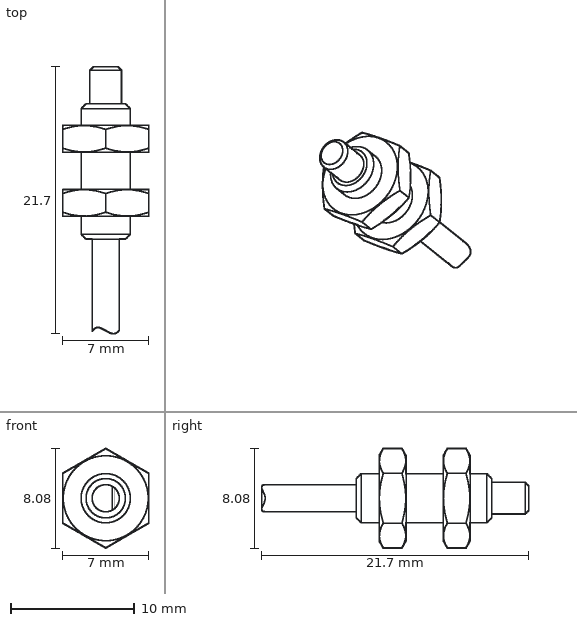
import cadquery as cq
import math

overall_length = 21.67

body_diameter = 4.0
body_length = 11.0
body_chamfer = 0.4

tip_diameter = 2.6
tip_length = 3.0
tip_chamfer = 0.3

cable_diameter = 2.2
cable_length = overall_length - body_length - tip_length
wave_amplitude = 0.25
wave_peak_x = 0.54
wave_end_offset = 0.03

nut_across_flats = 7.0
nut_across_corners = nut_across_flats / math.cos(math.radians(30))
nut_thickness = 2.2
nut_spacing = 5.2
first_nut_y = 1.85
nut_face_diameter = 6.9
nut_chamfer_angle = 30


def cylinder_along_y(diameter, y_start, length):
    """Solid cylinder on the Y axis, from y_start toward +Y."""
    base = cq.Workplane("XZ", origin=(0, y_start, 0))
    return base.circle(diameter / 2).extrude(-length)


def make_body():
    body = cylinder_along_y(body_diameter, 0, body_length)
    return body.faces("<Y or >Y").chamfer(body_chamfer)


def make_tip():
    tip = cylinder_along_y(tip_diameter, body_length, tip_length)
    return tip.faces(">Y").chamfer(tip_chamfer)


def make_cable():
    """Cable cut off by one smooth S-shaped wave across X."""
    radius = cable_diameter / 2
    wave_middle_y = wave_amplitude - cable_length
    wave_points = [
        (-radius, wave_middle_y - wave_end_offset),
        (-wave_peak_x, wave_middle_y + wave_amplitude),
        (0, wave_middle_y),
        (wave_peak_x, wave_middle_y - wave_amplitude),
        (radius, wave_middle_y + wave_end_offset),
    ]
    profile = (
        cq.Workplane("XY", origin=(0, 0, -radius))
        .moveTo(-radius, 0)
        .lineTo(*wave_points[0])
        .spline(wave_points[1:], includeCurrent=True)
        .lineTo(radius, 0)
        .close()
        .extrude(cable_diameter)
    )
    return cylinder_along_y(cable_diameter, -cable_length, cable_length).intersect(profile)


def make_nut(y_start):
    """Hexagon nut with corners at +Z and -Z, both faces chamfered by a cone."""
    hexagon = (
        cq.Workplane("XZ", origin=(0, y_start, 0))
        .transformed(rotate=(0, 0, 90))
        .polygon(6, nut_across_corners)
        .extrude(-nut_thickness)
    )
    face_radius = nut_face_diameter / 2
    corner_radius = nut_across_corners / 2
    chamfer_depth = (corner_radius - face_radius) * math.tan(math.radians(nut_chamfer_angle))
    y_end = y_start + nut_thickness
    chamfer_envelope = (
        cq.Workplane("XY")
        .moveTo(0, y_start)
        .lineTo(face_radius, y_start)
        .lineTo(corner_radius, y_start + chamfer_depth)
        .lineTo(corner_radius, y_end - chamfer_depth)
        .lineTo(face_radius, y_end)
        .lineTo(0, y_end)
        .close()
        .revolve(360, (0, 0, 0), (0, 1, 0))
    )
    bore = cylinder_along_y(body_diameter, y_start, nut_thickness)
    return hexagon.intersect(chamfer_envelope).cut(bore)


body = make_body()
tip = make_tip()
cable = make_cable()
nuts = [make_nut(first_nut_y + index * nut_spacing) for index in range(2)]

result = cq.Compound.makeCompound([body.val(), tip.val(), cable.val(), *[nut.val() for nut in nuts]])